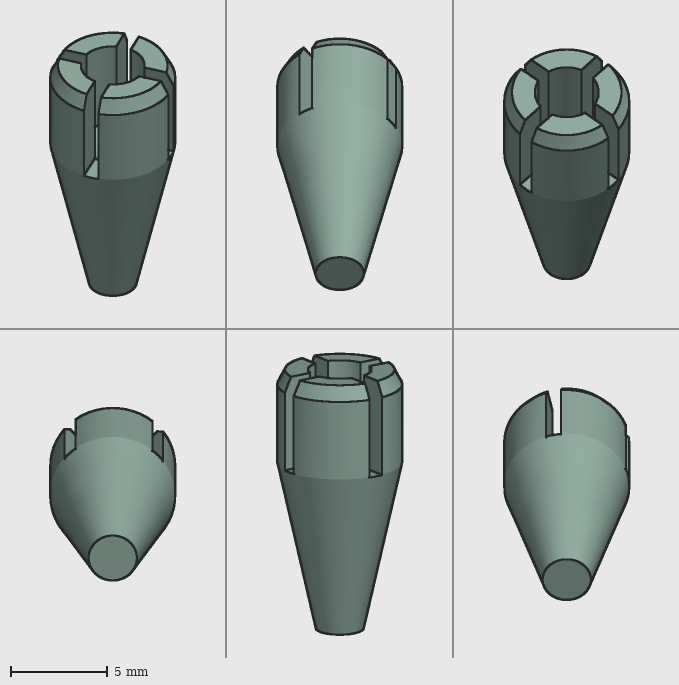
import cadquery as cq

total_height = 14.0
body_diameter = 6.5
tip_diameter = 2.5
head_height = 5.0
chamfer_height = 0.78
chamfer_width = 0.4
bore_diameter = 3.3
slot_width = 0.8
bore_cone_depth = 1.6

body_radius = body_diameter / 2
tip_radius = tip_diameter / 2
bore_radius = bore_diameter / 2
shoulder_z = total_height - head_height
chamfer_z = total_height - chamfer_height


def revolve_profile(points):
    """Revolve a closed (radius, height) outline about the Z axis."""
    return cq.Workplane("XZ").polyline(points).close().revolve(360, (0, 0, 0), (0, 1, 0))


body = revolve_profile([
    (0, 0),
    (tip_radius, 0),
    (body_radius, shoulder_z),
    (body_radius, chamfer_z),
    (body_radius - chamfer_width, total_height),
    (0, total_height),
])

bore = revolve_profile([
    (0, shoulder_z - bore_cone_depth),
    (bore_radius, shoulder_z),
    (bore_radius, total_height),
    (0, total_height),
])
result = body.cut(bore)

slot = (
    cq.Workplane("XY")
    .workplane(offset=shoulder_z)
    .rect(body_diameter, slot_width)
    .extrude(head_height)
)
for angle in (0, 90):
    result = result.cut(slot.rotate((0, 0, 0), (0, 0, 1), angle))